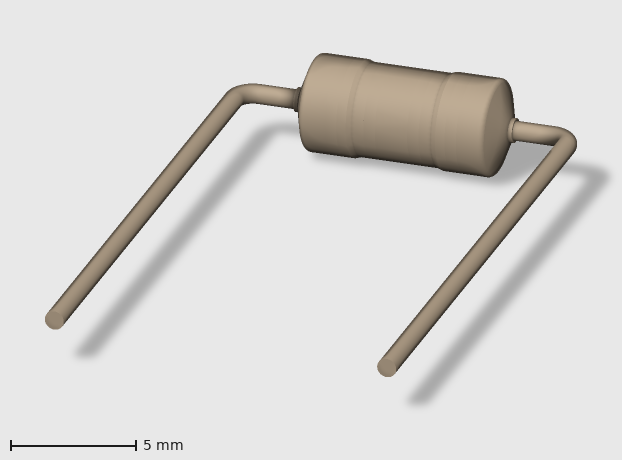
import cadquery as cq
import math


cap_radius = 2.0
waist_radius = 1.92
waist_half_length = 1.65
step_length = 0.23
shoulder_half_length = 3.84
shoulder_fillet = 0.2
neck_radius = 0.5
neck_length = 0.17
body_half_length = 4.6
cone_start = body_half_length - neck_length

band_width = 0.48
band_depth = 0.1
cap_band_centre = 2.52
waist_band_centre = 0.92

lead_radius = 0.4
lead_pitch = 14.0
lead_drop = 23.0
bend_radius = 0.8


def make_blank():
    """Body with a narrower waist, coned ends and a short neck at each lead."""
    right_side = [
        (waist_half_length, waist_radius),
        (waist_half_length + step_length, cap_radius),
        (shoulder_half_length, cap_radius),
        (cone_start, neck_radius),
        (body_half_length, neck_radius),
        (body_half_length, 0),
    ]
    left_side = [(-x, r) for x, r in reversed(right_side)]
    profile = cq.Workplane("XY").polyline(left_side + right_side).close()
    blank = profile.revolve(360, (0, 0, 0), (1, 0, 0))
    for side in (-1, 1):
        shoulder = cq.selectors.NearestToPointSelector((side * shoulder_half_length, 0, 0))
        blank = blank.edges("%CIRCLE").edges(shoulder).fillet(shoulder_fillet)
    return blank


def make_band(centre, outer_radius):
    """Thin ring whose outside is flush with the body at that place."""
    start = cq.Workplane("YZ", origin=(centre - band_width / 2, 0, 0))
    return start.circle(outer_radius).circle(outer_radius - band_depth).extrude(band_width)


def make_lead(side):
    """Round wire from the neck face outward, around the bend and along -Y."""
    lead_x = side * lead_pitch / 2
    bend_start_x = lead_x - side * bend_radius
    bend_middle = (
        bend_start_x + side * bend_radius * math.sin(math.pi / 4),
        -bend_radius * (1 - math.cos(math.pi / 4)),
    )
    path = (
        cq.Workplane("XY")
        .moveTo(side * body_half_length, 0)
        .lineTo(bend_start_x, 0)
        .threePointArc(bend_middle, (lead_x, -bend_radius))
        .lineTo(lead_x, -lead_drop)
    )
    start = cq.Workplane("YZ", origin=(side * body_half_length, 0, 0))
    return start.circle(lead_radius).sweep(path)


bands = []
for side in (-1, 1):
    bands.append(make_band(side * cap_band_centre, cap_radius))
    bands.append(make_band(side * waist_band_centre, waist_radius))

leads = [make_lead(side) for side in (-1, 1)]

body = make_blank()
for band in bands:
    body = body.cut(band)

result = cq.Compound.makeCompound([part.solids().val() for part in [body, *bands, *leads]])